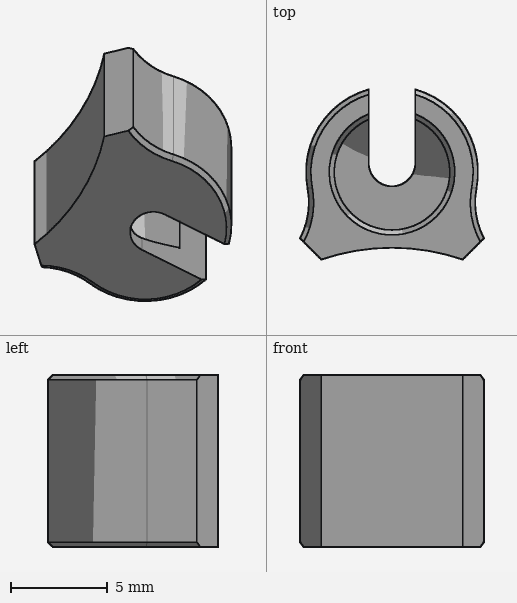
import cadquery as cq
import math

height = 8.89
outer_radius = 4.45
bore_radius = 2.98
bore_depth = 6.65
drill_tip_angle = 120.0
edge_chamfer = 0.26

foot_half_width = 4.75
foot_tip_y = -3.41
foot_flat = 1.1
base_arc_crown_y = -3.9
flank_start_angle = -10.7

slot_width = 2.39
slot_bottom_y = -0.72

base_half_width = foot_half_width - foot_flat
base_tip_y = foot_tip_y - foot_flat


def polar(radius, degrees):
    angle = math.radians(degrees)
    return radius * math.cos(angle), radius * math.sin(angle)


def make_body():
    """Round clip flowing into two concave flanks over a hollowed base."""
    flank_x, flank_y = polar(outer_radius, flank_start_angle)
    right_side = (
        cq.Workplane("XY")
        .moveTo(0, outer_radius)
        .threePointArc(polar(outer_radius, 45), (flank_x, flank_y))
        .tangentArcPoint((foot_half_width, foot_tip_y), relative=False)
        .lineTo(base_half_width, base_tip_y)
    )
    profile = (
        right_side
        .threePointArc((0, base_arc_crown_y), (-base_half_width, base_tip_y))
        .lineTo(-foot_half_width, foot_tip_y)
    )
    gap_x = flank_x - foot_half_width
    gap_y = flank_y - foot_tip_y
    normal_x, normal_y = polar(1, flank_start_angle)
    flank_radius = -(gap_x**2 + gap_y**2) / (2 * (gap_x * normal_x + gap_y * normal_y))
    center_x, center_y = polar(outer_radius + flank_radius, flank_start_angle)
    flank_middle = (flank_radius - center_x, center_y)
    return (
        profile
        .threePointArc(flank_middle, (-flank_x, flank_y))
        .threePointArc(polar(outer_radius, 135), (0, outer_radius))
        .close()
        .extrude(height)
    )


def chamfer_outside(body):
    """Chamfer the end edges of the round and the flanks, leaving the base sharp."""
    rim = cq.selectors.BoxSelector(
        (-2 * outer_radius, foot_tip_y, -0.095),
        (2 * outer_radius, 2 * outer_radius, height + 0.095),
    )
    return body.edges("%CIRCLE").edges(rim).chamfer(edge_chamfer)


def make_bore():
    """Blind bore with a chamfered mouth and a conical drilled bottom."""
    floor_z = height - bore_depth
    tip_depth = bore_radius / math.tan(math.radians(drill_tip_angle / 2))
    return (
        cq.Workplane("XZ")
        .moveTo(0, height)
        .lineTo(bore_radius + edge_chamfer, height)
        .lineTo(bore_radius, height - edge_chamfer)
        .lineTo(bore_radius, floor_z)
        .lineTo(0, floor_z - tip_depth)
        .close()
        .revolve(360, (0, 0), (0, 1))
    )


def make_slot():
    """Full-height slot with a rounded inner end."""
    end_radius = slot_width / 2
    center_y = slot_bottom_y + end_radius
    length = 2 * outer_radius
    straight = (
        cq.Workplane("XY")
        .center(0, center_y + length / 2)
        .rect(slot_width, length)
        .extrude(height)
    )
    round_end = cq.Workplane("XY").center(0, center_y).circle(end_radius).extrude(height)
    return straight.union(round_end)


result = chamfer_outside(make_body()).cut(make_bore()).cut(make_slot())